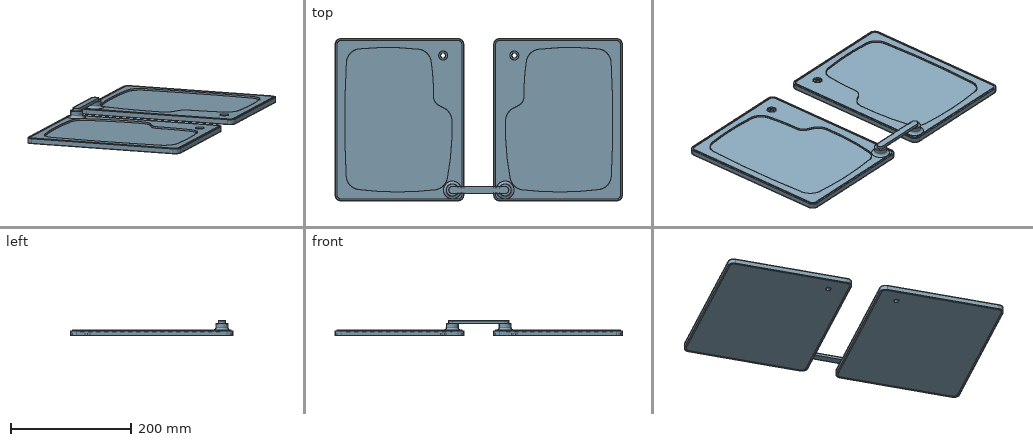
import cadquery as cq
import math

overall_width = 477.5
tray_gap = 49.5
tray_width = (overall_width - tray_gap) / 2
tray_depth = 270.0
link_top = 25.0

frame_height = 8.0
frame_wall = 3.0
frame_corner_radius = 10.0

panel_rise = 1.0
panel_height = frame_height + panel_rise

pocket_depth = 3.0
pocket_corner_radius = 24.0
pocket_neck_radius = 16.5
outer_front_corner = (19.5, 21.5)
outer_back_corner = (20.0, 250.5)
inner_back_corner = (156.5, 250.0)
neck_corner = (163.5, 163.5)
shoulder_corner = (193.5, 148.0)
inner_front_corner = (183.0, 20.5)
outer_side_bow = (15.8, 133.5)
back_side_bow = (87.5, 255.0)
upper_inner_side_bow = (162.5, 208.0)
lower_inner_side_bow = (193.5, 90.7)
front_side_bow = (106.0, 15.0)

hole_side_inset = 34.5
hole_back_inset = 28.0
hex_across_corners = 9.0
counterbore_diameter = 15.0
counterbore_depth = 3.0

post_diameter = 20.0
post_foot_radius = 5.0
post_side_inset = 19.0
post_front_inset = 18.0
link_width = 12.0
link_thickness = 5.0
post_height = link_top - link_thickness - panel_height

tray_left = -overall_width / 2
tray_right = tray_left + tray_width
tray_front = -tray_depth / 2
tray_back = tray_depth / 2
tray_center_x = (tray_left + tray_right) / 2
post_x = tray_right - post_side_inset
post_y = tray_front + post_front_inset
hole_x = tray_right - hole_side_inset
hole_y = tray_back - hole_back_inset


def rounded_plate(inset, height):
    """Plate with the outline of the left tray, moved inwards by the inset."""
    return (
        cq.Workplane("XY")
        .center(tray_center_x, 0)
        .rect(tray_width - 2 * inset, tray_depth - 2 * inset)
        .extrude(height)
        .edges("|Z")
        .fillet(frame_corner_radius - inset)
    )


def round_upright_edge(body, corner, radius):
    """Round the upright edge that stands at the given corner of the body."""
    nearest = cq.selectors.NearestToPointSelector((*corner, pocket_depth / 2))
    return body.edges("|Z").edges(nearest).fillet(radius)


def make_pocket():
    """Pocket volume with bowed sides, stepped in beside the hole."""
    pocket = (
        cq.Workplane("XY")
        .moveTo(*outer_front_corner)
        .threePointArc(outer_side_bow, outer_back_corner)
        .threePointArc(back_side_bow, inner_back_corner)
        .threePointArc(upper_inner_side_bow, neck_corner)
        .lineTo(*shoulder_corner)
        .threePointArc(lower_inner_side_bow, inner_front_corner)
        .threePointArc(front_side_bow, outer_front_corner)
        .close()
        .extrude(pocket_depth)
    )
    pocket = round_upright_edge(pocket, neck_corner, pocket_neck_radius)
    rounded_corners = (
        outer_front_corner,
        outer_back_corner,
        inner_back_corner,
        shoulder_corner,
        inner_front_corner,
    )
    for corner in rounded_corners:
        pocket = round_upright_edge(pocket, corner, pocket_corner_radius)
    return pocket.translate((tray_left, tray_front, panel_height - pocket_depth))


def make_hole():
    """Hexagonal hole through the panel, with its counterbore on top."""
    hexagon = (
        cq.Workplane("XY", origin=(hole_x, hole_y, 0))
        .polygon(6, hex_across_corners)
        .extrude(panel_height)
    )
    counterbore = (
        cq.Workplane("XY", origin=(hole_x, hole_y, panel_height - counterbore_depth))
        .circle(counterbore_diameter / 2)
        .extrude(counterbore_depth)
    )
    return hexagon.union(counterbore)


def make_frame():
    """Rim of the left tray."""
    return rounded_plate(0, frame_height).cut(rounded_plate(frame_wall, frame_height))


def make_panel():
    """Panel that fills the left frame."""
    return rounded_plate(frame_wall, panel_height).cut(make_pocket()).cut(make_hole())


def make_post():
    """Round hinge post on the left panel, with a concave flare at its foot."""
    post_radius = post_diameter / 2
    flare_offset = post_foot_radius * (1 - math.sqrt(0.5))
    return (
        cq.Workplane("XZ")
        .lineTo(post_radius + post_foot_radius, 0)
        .threePointArc((post_radius + flare_offset, flare_offset), (post_radius, post_foot_radius))
        .lineTo(post_radius, post_height)
        .lineTo(0, post_height)
        .close()
        .revolve(360, (0, 0, 0), (0, 1, 0))
        .translate((post_x, post_y, panel_height))
    )


def make_link():
    """Round-ended bar that lies on both posts."""
    return (
        cq.Workplane("XY", origin=(0, post_y, link_top - link_thickness))
        .slot2D(2 * abs(post_x) + link_width, link_width)
        .extrude(link_thickness)
    )


def mirrored_pair(left_body):
    """The left body and its mirror image on the right tray."""
    return [left_body.val(), left_body.mirror("YZ").val()]


frames = mirrored_pair(make_frame())
panels = mirrored_pair(make_panel())
posts = mirrored_pair(make_post())
link = make_link()

result = cq.Compound.makeCompound([*frames, *panels, *posts, link.val()])